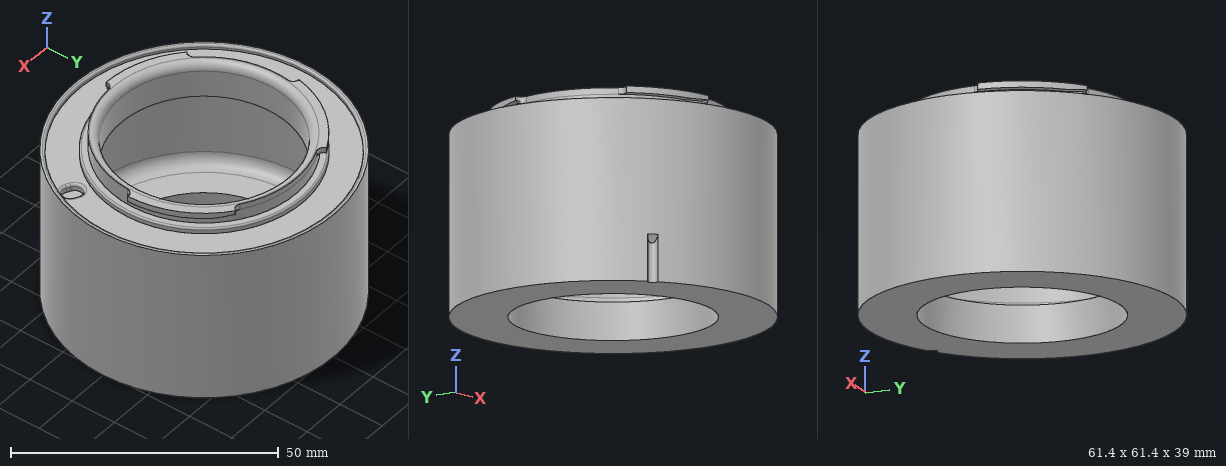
import cadquery as cq
import math

body_radius = 30.7
total_height = 39.0
shoulder_height = 35.0
recess_depth = 1.0
rim_width = 0.5
rim_fillet = 0.5
recess_radius = body_radius - rim_width - rim_fillet
recess_height = shoulder_height - recess_depth

bore_radius = 19.65
bore_mouth_fillet = 1.8
cavity_radius = 28.25
cavity_ceiling = 31.05
cavity_floor = 7.35
cavity_fillet = 2.75

neck_radius = 21.7
collar_radius = 23.35
collar_height = 35.25
collar_fillet = 0.35
lug_radius = 23.3
lug_thickness = 1.3
lug_spans = [(0.0, 52.5), (117.0, 168.5), (226.0, 270.0)]
lug_end_fillet = 1.35
ramp_angle = 11.0
ramp_rise = 0.4

pocket_angle = -27.9
pocket_center_radius = 26.95
pocket_width = 3.45
pocket_straight = 0.9
pocket_depth = 1.55
pocket_fillet = 0.55

groove_angle = 233.9
groove_radius = 1.0
groove_inner_height = 7.55
groove_outer_height = 9.1


def polar(radius, degrees):
    angle = math.radians(degrees)
    return radius * math.cos(angle), radius * math.sin(angle)


def disc(radius, bottom, top):
    return cq.Workplane("XY").workplane(offset=bottom).circle(radius).extrude(top - bottom)


def ring(inner, outer, bottom, top):
    return disc(outer, bottom, top).cut(disc(inner, bottom, top))


def make_body():
    body = disc(body_radius, 0, recess_height)
    pocket = (
        cq.Workplane("XY")
        .workplane(offset=recess_height - pocket_depth)
        .slot2D(pocket_straight + pocket_width, pocket_width)
        .extrude(pocket_depth)
        .translate((pocket_center_radius, 0, 0))
        .rotate((0, 0, 0), (0, 0, 1), pocket_angle)
    )
    pocket_x, pocket_y = polar(pocket_center_radius, pocket_angle)
    mouth = cq.selectors.BoxSelector(
        (pocket_x - pocket_width, pocket_y - pocket_width, recess_height - 0.05),
        (pocket_x + pocket_width, pocket_y + pocket_width, recess_height + 0.05),
    )
    return body.cut(pocket).edges(mouth).fillet(pocket_fillet)


def make_rim():
    """Raised outer rim, rounded on its inner top edge."""
    return (
        cq.Workplane("XZ")
        .moveTo(recess_radius, recess_height)
        .lineTo(body_radius, recess_height)
        .lineTo(body_radius, shoulder_height)
        .lineTo(recess_radius + rim_fillet, shoulder_height)
        .radiusArc((recess_radius, shoulder_height - rim_fillet), -rim_fillet)
        .close()
        .revolve(360, (0, 0, 0), (0, 1, 0))
    )


def make_collar():
    return disc(collar_radius, recess_height, collar_height).faces(">Z").edges().fillet(collar_fillet)


def sector(inner, outer, start, end, bottom, top):
    middle = (start + end) / 2
    return (
        cq.Workplane("XY")
        .workplane(offset=bottom)
        .moveTo(*polar(inner, start))
        .lineTo(*polar(outer, start))
        .threePointArc(polar(outer, middle), polar(outer, end))
        .lineTo(*polar(inner, end))
        .threePointArc(polar(inner, middle), polar(inner, start))
        .close()
        .extrude(top - bottom)
    )


def ramp_cutter(end, bottom):
    """Wedge that climbs from the lug's underside up to its end."""
    run = lug_radius * math.tan(math.radians(ramp_angle))
    wedge = (
        cq.Workplane("YZ")
        .polyline([(-run, bottom), (0, bottom), (0, bottom + ramp_rise)])
        .close()
        .extrude(body_radius)
        .rotate((0, 0, 0), (0, 0, 1), end)
    )
    return wedge.cut(disc(neck_radius, bottom, total_height))


def make_neck():
    """Neck with lugs at its top; the gap corners against the neck are rounded."""
    bottom = total_height - lug_thickness
    neck = disc(lug_radius, recess_height, total_height)
    for index, (_, gap_start) in enumerate(lug_spans):
        gap_end = lug_spans[(index + 1) % len(lug_spans)][0]
        if gap_end < gap_start:
            gap_end += 360
        gap = sector(neck_radius, body_radius, gap_start, gap_end, bottom, total_height)
        for corner_angle in (gap_start, gap_end):
            x, y = polar(neck_radius, corner_angle)
            box = cq.selectors.BoxSelector((x - 0.6, y - 0.6, bottom - 0.6), (x + 0.6, y + 0.6, total_height + 0.6))
            gap = gap.edges("|Z").edges(box).fillet(lug_end_fillet)
        neck = neck.cut(gap)
    neck = neck.cut(ring(neck_radius, body_radius, recess_height, bottom))
    for _, end in lug_spans:
        neck = neck.cut(ramp_cutter(end, bottom))
    return neck


def make_bore():
    """Through bore with a rounded mouth."""
    return (
        cq.Workplane("XZ")
        .lineTo(bore_radius, 0)
        .lineTo(bore_radius, total_height - bore_mouth_fillet)
        .radiusArc((bore_radius + bore_mouth_fillet, total_height), bore_mouth_fillet)
        .lineTo(0, total_height)
        .close()
        .revolve(360, (0, 0, 0), (0, 1, 0))
    )


def make_cavity():
    return disc(cavity_radius, cavity_floor, cavity_ceiling).faces("<Z").edges().fillet(cavity_fillet)


def make_groove():
    """Half-round groove rising from the bottom edge to a sloping roof."""
    floor = body_radius - groove_radius
    outside = body_radius + groove_radius
    section = cq.Workplane("XY").center(body_radius, 0).circle(groove_radius).extrude(total_height)
    roof_rise = groove_outer_height - groove_inner_height
    side = (
        cq.Workplane("XZ")
        .moveTo(floor, 0)
        .lineTo(outside, 0)
        .lineTo(outside, groove_outer_height + roof_rise)
        .lineTo(floor, groove_inner_height)
        .close()
        .extrude(groove_radius, both=True)
    )
    return section.intersect(side).rotate((0, 0, 0), (0, 0, 1), groove_angle)


result = make_body().union(make_rim()).union(make_collar()).union(make_neck())
result = result.cut(make_bore()).cut(make_cavity()).cut(make_groove())